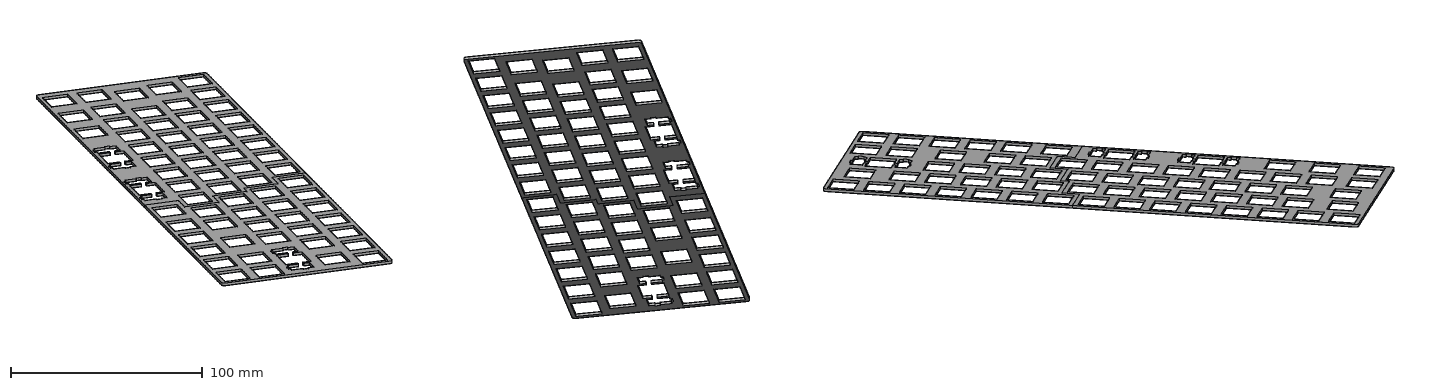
import cadquery as cq


plate_width = 285.0
plate_depth = 94.5
plate_thickness = 1.5
corner_radius = 1.7
edge_trim = 0.37

key_rows = [
    [1] * 15,
    [1.5] + [1] * 12 + [1.5],
    [1.75] + [1] * 11 + [2.25],
    [1.25] + [1] * 10 + [1.75, 1, 1],
    [1.25, 1.25, 1.25, 2.75, 2.25, 1.25] + [1] * 5,
]
left_key_counts = [8, 8, 8, 9, 5]
stabilised_key_width = 2
key_unit = (plate_width + 2 * edge_trim) / sum(key_rows[0])

switch_side = 14.0
stabilizer_offset = 12.0
stabilizer_width = 6.5
stabilizer_back_inset = 1.45
stabilizer_front_inset = 0.23
stabilizer_back = switch_side / 2 - stabilizer_back_inset
stabilizer_front = switch_side / 2 - stabilizer_front_inset
clip_notch_half_width = 1.5
clip_notch_depth = 1.2
wire_slot_depth = 2.8
wire_slot_shift = 0.9
wire_slot_overhang = 0.83
wire_slot_length = 2 * stabilizer_offset + stabilizer_width + 2 * wire_slot_overhang


def key_edge(row, key_count):
    """X of the boundary that follows the first key_count keys of a row."""
    return (sum(key_rows[row][:key_count]) - sum(key_rows[row]) / 2) * key_unit


def row_back(row):
    """Y of the back boundary of a row."""
    return (len(key_rows) / 2 - row) * key_unit


def prism(x_min, x_max, y_min, y_max):
    """Rectangular block through the full plate thickness."""
    width = x_max - x_min
    depth = y_max - y_min
    return cq.Workplane("XY").box(width, depth, plate_thickness, centered=False).translate((x_min, y_min, 0))


def centred_prism(x, y, width, depth):
    """Full-thickness block centred on a point of the plate."""
    return prism(x - width / 2, x + width / 2, y - depth / 2, y + depth / 2)


def stabilizer_openings(x, y):
    """Two stabilizer openings with front clip notches, joined by the wire slot."""
    openings = [centred_prism(x, y + wire_slot_shift, wire_slot_length, wire_slot_depth)]
    for side in (-1, 1):
        centre = x + side * stabilizer_offset
        half_width = stabilizer_width / 2
        front = y - stabilizer_front
        openings.append(prism(centre - half_width, centre + half_width, front, y + stabilizer_back))
        notch_left = centre - clip_notch_half_width
        notch_right = centre + clip_notch_half_width
        openings.append(prism(notch_left, notch_right, front - clip_notch_depth, y))
    return openings


def key_openings(row, first_key, last_key):
    """Openings for the keys of one row from first_key up to, not including, last_key."""
    openings = []
    y = row_back(row) - key_unit / 2
    for key in range(first_key, last_key):
        x = (key_edge(row, key) + key_edge(row, key + 1)) / 2
        openings.append(centred_prism(x, y, switch_side, switch_side))
        if key_rows[row][key] >= stabilised_key_width:
            openings.extend(stabilizer_openings(x, y))
    return openings


def plate_blank():
    blank = cq.Workplane("XY").box(plate_width, plate_depth, plate_thickness, centered=(True, True, False))
    return blank.edges("|Z").fillet(corner_radius)


def left_region():
    """Block covering everything left of the seam, which follows the key boundaries."""
    left = key_edge(0, 0)
    points = [(left, row_back(0))]
    for row, key_count in enumerate(left_key_counts):
        seam = key_edge(row, key_count)
        points.append((seam, row_back(row)))
        points.append((seam, row_back(row + 1)))
    points.append((left, row_back(len(key_rows))))
    return cq.Workplane("XY").polyline(points).close().extrude(plate_thickness)


def cut_openings(half, key_spans):
    """Cut the openings of one (first, last) key span per row."""
    openings = []
    for row, (first_key, last_key) in enumerate(key_spans):
        openings.extend(key_openings(row, first_key, last_key))
    return cq.Workplane(half.val().cut(*[opening.val() for opening in openings]))


def left_half():
    half = plate_blank().intersect(left_region())
    return cut_openings(half, [(0, count) for count in left_key_counts])


def right_half():
    half = plate_blank().cut(left_region())
    return cut_openings(half, [(count, len(keys)) for count, keys in zip(left_key_counts, key_rows)])


left_plate = left_half()
right_plate = right_half()
result = cq.Compound.makeCompound([*left_plate.solids().vals(), *right_plate.solids().vals()])